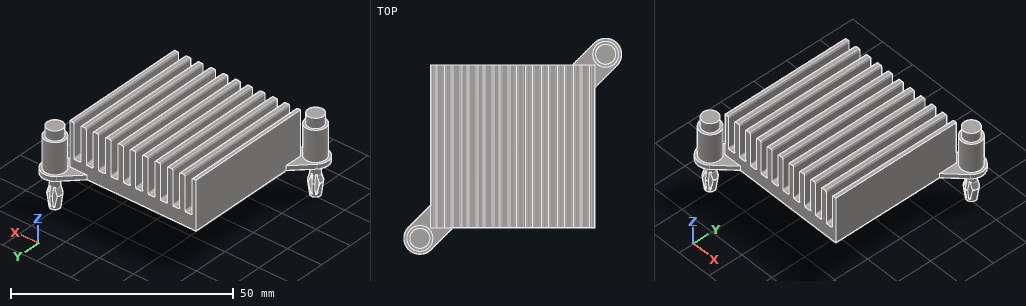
import cadquery as cq
import math

sink_length = 36.6
sink_height = 13.9
base_thickness = 3.9
gap_count = 10
gap_width = 2.0
fin_pitch = 3.6
outer_fin_thickness = 1.15
fin_round = 0.35

pin_span_x = 41.75
pin_span_y = 41.35
ear_diameter = 7.2
ear_thickness = 1.3
ear_slope = 45.0

sleeve_diameter = 5.8
sleeve_top = 10.1

head_diameter = 4.5
head_top = 12.8
shaft_diameter = 2.7
barb_diameter = 3.7
barb_start = -3.45
barb_widest = -5.4
pin_bottom = -9.25

web_thickness = 0.75
slot_widest = 1.0
slot_end_width = 0.3
slot_top = -3.25
slot_bottom = -8.5

right_pin_turn = 10.0
left_pin_turn = 24.0
left_pin_lift = 0.1

sink_width = (gap_count - 1) * fin_pitch + gap_width + 2 * outer_fin_thickness
right_pin_x = pin_span_x / 2
right_pin_y = pin_span_y / 2
slot_inner = web_thickness / 2
slot_outer_wide = slot_inner + slot_widest
slot_outer_narrow = slot_inner + slot_end_width


def make_fin_gap(center_x):
    """Cutter for one gap: rounded floor corners and rounded fin edges at the mouth."""
    half = gap_width / 2
    flare = half + fin_round
    turn = fin_round * (1 - math.sqrt(0.5))
    shoulder = sink_height - fin_round
    floor_start = base_thickness + fin_round
    outline = (
        cq.Workplane("XZ")
        .moveTo(-flare, sink_height)
        .threePointArc((-half - turn, sink_height - turn), (-half, shoulder))
        .lineTo(-half, floor_start)
        .threePointArc((-half + turn, base_thickness + turn), (-half + fin_round, base_thickness))
        .lineTo(half - fin_round, base_thickness)
        .threePointArc((half - turn, base_thickness + turn), (half, floor_start))
        .lineTo(half, shoulder)
        .threePointArc((half + turn, sink_height - turn), (flare, sink_height))
        .close()
    )
    return outline.extrude(sink_length / 2, both=True).translate((center_x, 0, 0))


def make_ear(side):
    """Round-ended tab that runs diagonally from under a block corner; side is +1 or -1."""
    center = (side * right_pin_x, side * right_pin_y)
    round_end = cq.Workplane("XY").center(*center).circle(ear_diameter / 2).extrude(ear_thickness)
    corner_distance = math.hypot(right_pin_x - sink_width / 2, right_pin_y - sink_length / 2)
    tab_length = corner_distance + ear_diameter
    tab = (
        cq.Workplane("XY")
        .rect(tab_length, ear_diameter)
        .extrude(ear_thickness)
        .translate((-side * tab_length / 2, 0, 0))
        .rotate((0, 0, 0), (0, 0, 1), ear_slope)
        .translate((*center, 0))
    )
    return round_end.union(tab)


def make_heat_sink():
    """Finned block with two ears, each drilled for a pin shaft."""
    sink = cq.Workplane("XY").box(sink_width, sink_length, sink_height, centered=(True, True, False))
    for index in range(gap_count):
        sink = sink.cut(make_fin_gap((index - (gap_count - 1) / 2) * fin_pitch))
    for side in (1, -1):
        sink = sink.union(make_ear(side))
    hole_centers = [(right_pin_x, right_pin_y), (-right_pin_x, -right_pin_y)]
    holes = cq.Workplane("XY").pushPoints(hole_centers).circle(shaft_diameter / 2).extrude(ear_thickness)
    return sink.cut(holes)


def make_sleeve(x, y):
    """Plain tube around a pin head, standing on an ear."""
    return (
        cq.Workplane("XY", origin=(x, y, ear_thickness))
        .circle(sleeve_diameter / 2)
        .circle(head_diameter / 2)
        .extrude(sleeve_top - ear_thickness)
    )


def make_barb_slot(side):
    """Through slot beside the web; its outer wall bows out with the barb."""
    return (
        cq.Workplane("XZ")
        .polyline(
            [
                (side * slot_inner, slot_top),
                (side * slot_outer_narrow, slot_top),
                (side * slot_outer_narrow, barb_start),
                (side * slot_outer_wide, barb_widest),
                (side * slot_outer_narrow, slot_bottom),
                (side * slot_inner, slot_bottom),
            ]
        )
        .close()
        .extrude(barb_diameter, both=True)
    )


def make_pin(x, y, turn, lift):
    """Push pin: wide head, thin shaft and a slotted double-cone barb."""
    pin = (
        cq.Workplane("XZ")
        .polyline(
            [
                (0, pin_bottom),
                (shaft_diameter / 2, pin_bottom),
                (barb_diameter / 2, barb_widest),
                (shaft_diameter / 2, barb_start),
                (shaft_diameter / 2, ear_thickness),
                (head_diameter / 2, ear_thickness),
                (head_diameter / 2, head_top),
                (0, head_top),
            ]
        )
        .close()
        .revolve(360, (0, 0, 0), (0, 1, 0))
    )
    for side in (1, -1):
        pin = pin.cut(make_barb_slot(side))
    return pin.rotate((0, 0, 0), (0, 0, 1), turn).translate((x, y, lift))


heat_sink = make_heat_sink()
sleeves = []
pins = []
for side, turn, lift in ((1, right_pin_turn, 0), (-1, left_pin_turn, left_pin_lift)):
    pin_x = side * right_pin_x
    pin_y = side * right_pin_y
    sleeves.append(make_sleeve(pin_x, pin_y).val())
    pins.append(make_pin(pin_x, pin_y, turn, lift).val())

result = cq.Compound.makeCompound([heat_sink.val(), *sleeves, *pins])